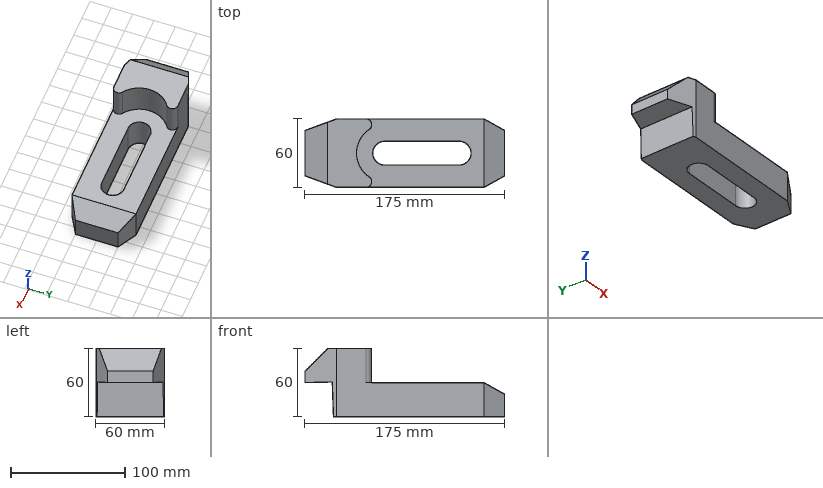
import cadquery as cq
import math

length = 175.0
width = 60.0
height = 60.0
half_width = width / 2
arm_height = height / 2

nose_chamfer = 20.0
nose_half_width = 20.0
nose_taper_length = 27.5
nose_root_x = 23.8
nose_root_z = 30.5
heel_x = 24.8

tail_length = 18.0
tail_half_width = 20.0
tail_height = 20.0

ear_tip_x = 58.5
ear_radius = 5.0
saddle_x = 45.2

slot_start_x = 59.5
slot_end_x = 145.5
slot_width = 20.6


def side_profile():
    """Side outline of the clamp with the head reaching to the ear tips."""
    outline = [
        (heel_x, 0),
        (length, 0),
        (length, tail_height),
        (length - tail_length, arm_height),
        (ear_tip_x, arm_height),
        (ear_tip_x, height),
        (nose_chamfer, height),
        (0, height - nose_chamfer),
        (0, arm_height),
        (nose_root_x, nose_root_z),
    ]
    return cq.Workplane("XZ").polyline(outline).close().extrude(half_width, both=True)


def plan_outline():
    """Plan shape, tapered toward both ends."""
    outline = [
        (0, -nose_half_width),
        (nose_taper_length, -half_width),
        (length - tail_length, -half_width),
        (length, -tail_half_width),
        (length, tail_half_width),
        (length - tail_length, half_width),
        (nose_taper_length, half_width),
        (0, nose_half_width),
    ]
    return cq.Workplane("XY").polyline(outline).close().extrude(height)


def head_end_cut():
    """Material removed above the arm to leave two ears joined by a saddle arc."""
    ear_x = ear_tip_x - ear_radius
    ear_y = half_width - ear_radius
    ear_offset = ear_x - saddle_x
    radius_sum = (ear_y**2 + (ear_offset + ear_radius) ** 2) / (2 * (ear_offset + ear_radius))
    saddle_radius = radius_sum - ear_radius
    saddle_centre_x = saddle_x + saddle_radius

    contact_angle = math.atan2(ear_y, saddle_centre_x - ear_x)
    contact_x = saddle_centre_x - saddle_radius * math.cos(contact_angle)
    contact_y = saddle_radius * math.sin(contact_angle)

    return (
        cq.Workplane("XY", origin=(0, 0, arm_height))
        .moveTo(ear_x, half_width)
        .threePointArc((ear_tip_x, ear_y), (contact_x, contact_y))
        .threePointArc((saddle_x, 0), (contact_x, -contact_y))
        .threePointArc((ear_tip_x, -ear_y), (ear_x, -half_width))
        .lineTo(length, -half_width)
        .lineTo(length, half_width)
        .close()
        .extrude(height - arm_height)
    )


def arm_slot():
    """Round-ended slot through the arm."""
    return (
        cq.Workplane("XY")
        .center((slot_start_x + slot_end_x) / 2, 0)
        .slot2D(slot_end_x - slot_start_x, slot_width)
        .extrude(height)
    )


result = side_profile().intersect(plan_outline()).cut(head_end_cut()).cut(arm_slot())